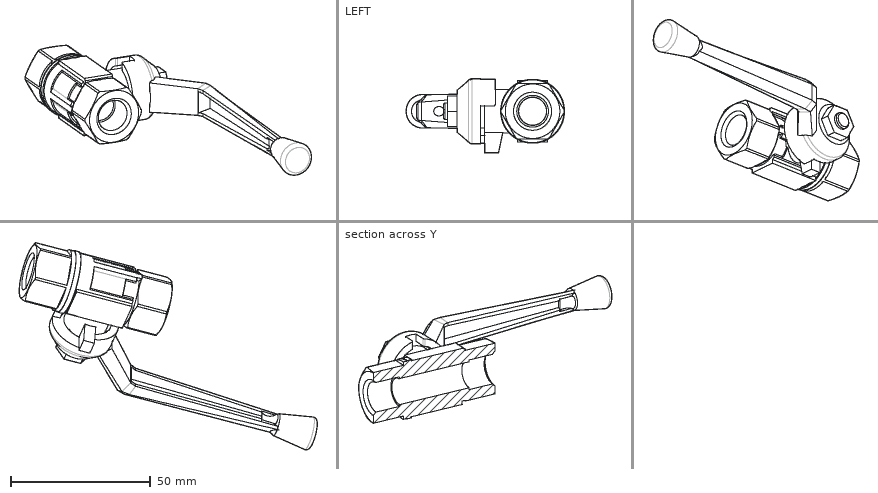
import cadquery as cq
import math

overall_length = 122.5
body_length = 51.5
hex_flats = 20.0
hex_corner_radius = 11.3
hex_chamfer_length = 0.8
hex_chamfer_depth = 1.5
left_hex_end = 12.7
collar_end = 16.2
right_hex_start = 38.9
collar_radius = 11.5
collar_lip_start = 14.3
barrel_radius = 11.0

pad_half_width = 5.45
pad_height = 11.05
pad_start = 16.6
lower_pad_end = 37.7
pad_chamfer = 0.7
recess_start = 21.4
recess_radius = 10.4
recess_outer_wall_y = 6.4
recess_floor_limit_z = 3.8
pocket_start = 33.7
pocket_radius = 9.7
pocket_z_range = (2.5, 7.8)
rib_half_width = 1.15
rib_end = 39.5

flow_diameter = 10.0
thread_diameter = 11.4
thread_depth = 11.0
mouth_diameter = 13.7

stem_x = 27.4
neck_radius = 7.85
neck_top = 17.2
hub_radius = 6.1
stop_half_width = 2.05
stop_bottom = -15.0
stop_root_y = 10.7
stop_tip_y = 12.2

cap_radius = 11.75
cap_bottom = 13.4
cap_shoulder = 21.7
cap_top = 27.15
cap_cone_start = 23.05
cap_cone_radius = 11.1
cap_top_radius = 7.6
cap_cavity_radius = 8.95
cap_cavity_top = 18.65
cap_slot_half_width = 2.2
stop_gap_half_width = 1.9
skirt_corner_blend = 0.6

nut_flats = 11.0
nut_top = 30.6
stem_radius = 3.05
stem_top = 32.0
stem_chamfer = 0.5

knob_axis_y = 39.4
knob_end_radius = 6.08
knob_start_radius = 4.1
knob_start = 108.0
knob_tip = 104.0
knob_tip_radius = 1.8
knob_rim = 120.4
knob_crown_start = 121.9
knob_crown_radius = 4.8
lever_end = 109.0

lever_stations = (
    ((34.0, 24.85), (38.9, 20.2), 0.22, 4.5, 6.2, 5.6),
    ((47.8, 40.0), (50.7, 33.7), 0.34, 3.3, 6.0, 5.1),
    ((50.9, 41.1), (52.9, 34.7), 0.43, 3.2, 5.95, 5.0),
    ((lever_end, 41.8), (lever_end, 37.3), 0.81, 2.2, 4.0, 3.3),
)

channel_start = 51.0
channel_end = 102.0
channel_start_half_width = 3.05
channel_end_half_width = 1.5
channel_floor_y = 38.5
channel_mouth_y = 33.5
channel_draft_angle = 12.0
scoop_x = 104.2
scoop_radius = 3.2
scoop_half_width = 2.4
dimple_x = 42.8
dimple_y = 34.5
dimple_radius = 1.5
dimple_depth = 3.0


def x_cylinder(radius, start, end):
    return cq.Workplane("YZ", origin=(start, 0, 0)).circle(radius).extrude(end - start)


def y_cylinder(radius, start, end):
    """Cylinder on the stem axis between two Y levels."""
    return cq.Workplane("XZ", origin=(stem_x, start, 0)).circle(radius).extrude(start - end)


def block(x_range, y_range, z_range):
    sizes = [high - low for low, high in (x_range, y_range, z_range)]
    corner = (x_range[0], y_range[0], z_range[0])
    return cq.Workplane("XY").box(*sizes, centered=False).translate(corner)


def hex_end(start, end, chamfer_start, chamfer_end):
    """Wrench hexagon with flats facing +-Z and its corners turned down."""
    across_corners = hex_flats / math.cos(math.pi / 6)
    hexagon = cq.Workplane("YZ", origin=(start, 0, 0)).polygon(6, across_corners).extrude(end - start)
    face_radius = hex_corner_radius - hex_chamfer_depth
    start_radius = face_radius if chamfer_start else hex_corner_radius
    end_radius = face_radius if chamfer_end else hex_corner_radius
    turned = (
        cq.Workplane("XY")
        .moveTo(start, 0)
        .lineTo(start, start_radius)
        .lineTo(start + hex_chamfer_length, hex_corner_radius)
        .lineTo(end - hex_chamfer_length, hex_corner_radius)
        .lineTo(end, end_radius)
        .lineTo(end, 0)
        .close()
        .revolve(360, (0, 0, 0), (1, 0, 0))
    )
    return hexagon.intersect(turned)


def make_recess():
    """Recess beside one rib: a shallow field with a sloped rib flank and a deeper pocket at its +X end."""
    rim = barrel_radius
    field = (
        cq.Workplane("YZ", origin=(recess_start, 0, 0))
        .moveTo(recess_outer_wall_y, rim)
        .lineTo(rim, rim)
        .lineTo(rim, rib_half_width)
        .lineTo(recess_radius - rib_half_width, recess_floor_limit_z)
        .lineTo(recess_outer_wall_y, recess_floor_limit_z)
        .close()
        .extrude(lower_pad_end - recess_start)
        .cut(x_cylinder(recess_radius, recess_start, lower_pad_end))
    )
    pocket_x_range = (pocket_start, lower_pad_end)
    pocket = block(pocket_x_range, (0, rim), pocket_z_range)
    return field.union(pocket.cut(x_cylinder(pocket_radius, pocket_start, lower_pad_end)))


def make_body():
    body = x_cylinder(barrel_radius, left_hex_end, lower_pad_end)
    recess = make_recess()
    for upper_recess in (recess, recess.mirror("XZ")):
        body = body.cut(upper_recess).cut(upper_recess.mirror("XY"))
    body = body.union(x_cylinder(pocket_radius, lower_pad_end, right_hex_start))
    rib_y_range = (-barrel_radius, barrel_radius)
    rib_z_range = (-rib_half_width, rib_half_width)
    ribs = block((recess_start, rib_end), rib_y_range, rib_z_range)
    body = body.union(ribs.intersect(x_cylinder(barrel_radius, recess_start, rib_end)))
    pad_width = (-pad_half_width, pad_half_width)
    upper_pad = block((pad_start, right_hex_start), pad_width, (0, pad_height))
    body = body.union(upper_pad.edges(">X and >Z").chamfer(pad_chamfer))
    body = body.union(block((pad_start, lower_pad_end), pad_width, (-pad_height, 0)))
    body = body.union(x_cylinder(hex_corner_radius, left_hex_end, collar_end))
    body = body.union(x_cylinder(collar_radius, collar_lip_start, collar_end))
    body = body.union(hex_end(0, left_hex_end, chamfer_start=True, chamfer_end=False))
    return body.union(hex_end(right_hex_start, body_length, chamfer_start=True, chamfer_end=True))


def make_neck():
    neck = y_cylinder(neck_radius, 0, neck_top)
    neck = neck.union(y_cylinder(hub_radius, neck_top, cap_top))
    stop = (
        cq.Workplane("YZ", origin=(stem_x, 0, 0))
        .moveTo(neck_top, 0)
        .lineTo(neck_top, stop_bottom)
        .lineTo(stop_tip_y, stop_bottom)
        .lineTo(stop_root_y, -neck_radius)
        .lineTo(stop_root_y, 0)
        .close()
        .extrude(stop_half_width, both=True)
    )
    return neck.union(stop)


def corner_box(x, y, z):
    """Selects the short skirt edges whose centres lie near a point."""
    reach = cap_radius - cap_cavity_radius
    corner = (reach, skirt_corner_blend / 2, reach)
    low = tuple(centre - half for centre, half in zip((x, y, z), corner))
    high = tuple(centre + half for centre, half in zip((x, y, z), corner))
    return cq.selectors.BoxSelector(low, high)


def make_cap():
    cap = (
        cq.Workplane("XY")
        .moveTo(0, cap_bottom)
        .lineTo(cap_radius, cap_bottom)
        .lineTo(cap_radius, cap_shoulder)
        .tangentArcPoint((cap_cone_radius, cap_cone_start), relative=False)
        .lineTo(cap_top_radius, cap_top)
        .lineTo(0, cap_top)
        .close()
        .revolve(360, (0, 0, 0), (0, 1, 0))
        .translate((stem_x, 0, 0))
    )
    cap = cap.cut(y_cylinder(cap_cavity_radius, cap_bottom, cap_cavity_top))
    reach = 2 * cap_radius
    skirt = (cap_bottom, cap_cavity_top)
    slot = (stem_x - cap_slot_half_width, stem_x + cap_slot_half_width)
    cap = cap.cut(block(slot, skirt, (0, reach)))
    gap = block((stem_x - reach, stem_x + stop_half_width), skirt, (-reach, stop_gap_half_width))
    gap = gap.cut(block((stem_x, stem_x + reach), skirt, (0, reach)))
    cap = cap.cut(gap)
    for x in slot:
        cap = cap.edges(corner_box(x, cap_bottom, cap_radius)).fillet(skirt_corner_blend)
    gap_corner = corner_box(stem_x - cap_radius, cap_bottom, stop_gap_half_width)
    return cap.edges(gap_corner).fillet(skirt_corner_blend)


def make_nut():
    across_corners = nut_flats / math.cos(math.pi / 6)
    nut_base = cq.Workplane("XZ", origin=(stem_x, cap_top, 0))
    nut = nut_base.polygon(6, across_corners).extrude(cap_top - nut_top)
    stem = y_cylinder(stem_radius, 0, stem_top).faces(">Y").chamfer(stem_chamfer)
    return nut.union(stem)


def lever_section(top, bottom, edge_fraction, top_half, edge_half, bottom_half):
    """Six-sided section through the lever; its widest edges lie part-way from top to bottom."""
    edge = tuple(high + edge_fraction * (low - high) for high, low in zip(top, bottom))
    upper_half = [(top, top_half), (edge, edge_half), (bottom, bottom_half)]
    corners = [(*point, half) for point, half in upper_half]
    corners += [(*point, -half) for point, half in reversed(upper_half)]
    return cq.Wire.makePolygon([cq.Vector(*corner) for corner in corners], close=True)


def make_lever():
    sections = [lever_section(*station) for station in lever_stations]
    lever = cq.Workplane(cq.Solid.makeLoft(sections, True))
    dimple = cq.Solid.makeCone(
        2 * dimple_radius, 0, 2 * dimple_depth,
        cq.Vector(dimple_x - dimple_depth, dimple_y, 0), cq.Vector(1, 0, 0),
    )
    return lever.cut(cq.Workplane(dimple))


def channel_outline(y, widening):
    start_half = channel_start_half_width + widening
    end_half = channel_end_half_width + widening
    corners = [
        (channel_start, start_half),
        (channel_end, end_half),
        (channel_end, -end_half),
        (channel_start, -start_half),
    ]
    return cq.Wire.makePolygon([cq.Vector(x, y, z) for x, z in corners], close=True)


def make_channel():
    """Drafted trough along the underside of the lever, with a round scoop where it meets the knob."""
    depth = channel_floor_y - channel_mouth_y
    draft = depth * math.tan(math.radians(channel_draft_angle))
    outlines = [channel_outline(channel_floor_y, 0), channel_outline(channel_mouth_y, draft)]
    trough = cq.Workplane(cq.Solid.makeLoft(outlines, True))
    scoop = (
        cq.Workplane("XY")
        .center(scoop_x, channel_floor_y - scoop_radius)
        .circle(scoop_radius)
        .extrude(scoop_half_width, both=True)
    )
    return trough.union(scoop)


def make_knob():
    return (
        cq.Workplane("XY")
        .moveTo(knob_tip, 0)
        .lineTo(knob_tip, knob_tip_radius)
        .lineTo(knob_start, knob_start_radius)
        .lineTo(knob_rim, knob_end_radius)
        .tangentArcPoint((knob_crown_start, knob_crown_radius), relative=False)
        .lineTo(overall_length, 0)
        .close()
        .revolve(360, (0, 0, 0), (1, 0, 0))
        .translate((0, knob_axis_y, 0))
    )


def make_bore():
    """Flow passage with a wider, chamfered thread bore at each end."""
    profile = (
        cq.Workplane("XY")
        .moveTo(0, 0)
        .lineTo(0, mouth_diameter / 2)
        .lineTo((mouth_diameter - thread_diameter) / 2, thread_diameter / 2)
        .lineTo(thread_depth, thread_diameter / 2)
        .lineTo(thread_depth, flow_diameter / 2)
        .lineTo(body_length / 2, flow_diameter / 2)
        .lineTo(body_length / 2, 0)
        .close()
    )
    left_half = profile.revolve(360, (0, 0, 0), (1, 0, 0))
    return left_half.union(left_half.mirror("YZ", (body_length / 2, 0, 0)))


handle = make_lever().union(make_knob()).cut(make_channel())
result = make_body()
for component in (make_neck(), make_cap(), make_nut(), handle):
    result = result.union(component)
result = result.cut(make_bore())